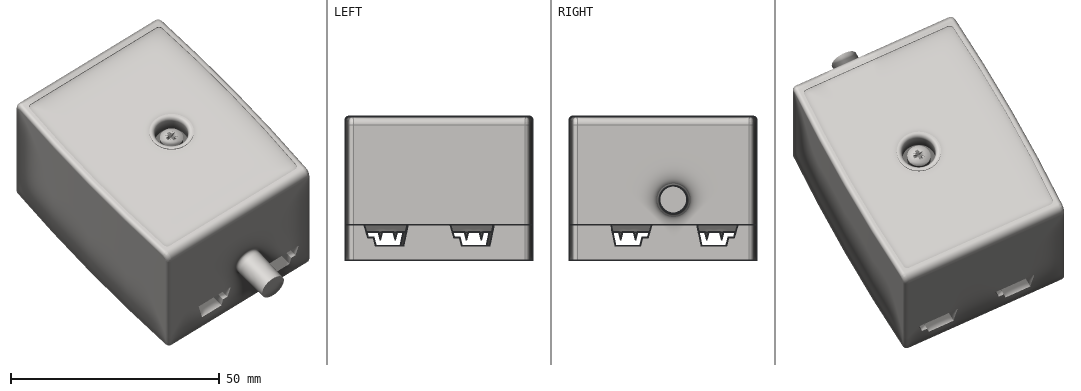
import cadquery as cq
import math

overall_length = 70.0

box_length = 60.05
box_width = 45.0
box_height = 34.5
side_bulge = 0.9
seam_height = 8.5
corner_radius = 1.05
end_edge_radius = 1.95

label_length = 54.45
label_width = 41.8
label_corner_radius = 1.05
label_depth = 0.3
axis_y = 2.6
rim_diameter = 10.65
well_diameter = 8.0
well_lip_radius = 1.0
well_depth = 4.2

outlet_y = 2.45
outlet_z = 14.55
outlet_reach = overall_length - box_length
outlet_root_diameter = 7.0
outlet_tip_diameter = 6.6
outlet_root_fillet = 0.5

channel_pitch = 20.65
channel_centre_y = 2.2
floor_height = 3.5
ledge_height = 5.45
channel_narrowing = 0.8

outer_wall_top = 5.45
outer_wall_at_ledge = 4.5
ledge_inner = 3.15
floor_outer = 2.65
floor_inner = -4.0
inner_wall_top = -5.05

tongue_drop = 1.75
tongue_length = box_length / 2
needle_pitch = 3.6
needle_offset = -0.2
needle_diameter = 0.9
needle_length = 1.75

head_diameter = 5.6
head_edge_depth = 2.4
head_crown = 0.7
recess_span = 3.15
recess_floor_span = 0.85
recess_width = 0.85
recess_depth = 1.1
mark_span = 2.8
mark_width = 0.15
mark_depth = 0.3

end_x = box_length / 2
head_edge_z = box_height - head_edge_depth
channel_places = [channel_centre_y + side * channel_pitch / 2 for side in (-1, 1)]


def bulged_outline(length, width, bottom, height):
    """Block with flat ends and gently arched long sides."""
    half_length = length / 2
    half_width = width / 2
    corner_y = half_width - side_bulge
    return (
        cq.Workplane("XY", origin=(0, 0, bottom))
        .moveTo(-half_length, -corner_y)
        .threePointArc((0, -half_width), (half_length, -corner_y))
        .lineTo(half_length, corner_y)
        .threePointArc((0, half_width), (-half_length, corner_y))
        .close()
        .extrude(height)
    )


def disc(diameter, y, bottom, height):
    return cq.Workplane("XY", origin=(0, y, bottom)).circle(diameter / 2).extrude(height)


def channel_points(top_z, narrowing):
    """Cross section of a cable channel, its slanted walls continued up to top_z."""
    return [
        (outer_wall_top, top_z),
        (outer_wall_at_ledge, ledge_height),
        (ledge_inner, ledge_height),
        (floor_outer, floor_height),
        (floor_inner + narrowing, floor_height),
        (inner_wall_top + narrowing, top_z),
    ]


def channel(y):
    """Solid filling one channel, which narrows from the -X end to the +X end."""
    return (
        cq.Workplane("YZ", origin=(-end_x, y, 0))
        .polyline(channel_points(seam_height, 0))
        .close()
        .workplane(offset=box_length)
        .polyline(channel_points(seam_height, channel_narrowing))
        .close()
        .loft(ruled=True)
    )


def make_base():
    base = bulged_outline(box_length, box_width, 0, seam_height)
    base = base.edges("|Z").fillet(corner_radius)
    for y in channel_places:
        base = base.cut(channel(y))
    return base


def cover_shell():
    shell = bulged_outline(box_length, box_width, seam_height, box_height - seam_height)
    shell = shell.faces(">Z").edges("|Y").fillet(end_edge_radius)
    return shell.edges("|Z").fillet(corner_radius)


def label_field():
    """Sunken field around the raised rim of the screw well."""
    bottom = box_height - label_depth
    field = bulged_outline(label_length, label_width, bottom, label_depth)
    field = field.edges("|Z").fillet(label_corner_radius)
    return field.cut(disc(rim_diameter, axis_y, bottom, label_depth))


def screw_well():
    """Round well whose mouth flares out in a rounded lip."""
    radius = well_diameter / 2
    lip_bottom = box_height - well_lip_radius
    lip_middle = well_lip_radius * (1 - math.sqrt(0.5))
    return (
        cq.Workplane("XZ", origin=(0, axis_y, 0))
        .moveTo(0, box_height - well_depth)
        .lineTo(radius, box_height - well_depth)
        .lineTo(radius, lip_bottom)
        .threePointArc(
            (radius + lip_middle, box_height - lip_middle),
            (radius + well_lip_radius, box_height),
        )
        .lineTo(0, box_height)
        .close()
        .revolve(360, (0, 0, 0), (0, 1, 0))
    )


def cable_outlet():
    """Tapered round stub flaring into the end face with a small root fillet."""
    root_radius = outlet_root_diameter / 2
    fillet_middle = outlet_root_fillet * (1 - math.sqrt(0.5))
    return (
        cq.Workplane("XY", origin=(end_x, outlet_y, outlet_z))
        .moveTo(0, 0)
        .lineTo(0, root_radius + outlet_root_fillet)
        .threePointArc(
            (fillet_middle, root_radius + fillet_middle),
            (outlet_root_fillet, root_radius),
        )
        .lineTo(outlet_reach, outlet_tip_diameter / 2)
        .lineTo(outlet_reach, 0)
        .close()
        .revolve(360, (0, 0, 0), (1, 0, 0))
    )


def tongue(y):
    """Part of the channel section just below the seam, filled over the middle of the box."""
    limits = cq.Workplane("XY", origin=(0, y, seam_height - tongue_drop)).box(
        tongue_length, channel_pitch, tongue_drop, centered=(True, True, False)
    )
    return channel(y).intersect(limits)


def needle(y):
    cone = cq.Solid.makeCone(
        needle_diameter / 2,
        0,
        needle_length,
        pnt=cq.Vector(0, y, seam_height - tongue_drop),
        dir=cq.Vector(0, 0, -1),
    )
    return cq.Workplane(obj=cone)


def make_cover():
    cover = cover_shell().cut(label_field()).cut(screw_well())
    cover = cover.union(cable_outlet())
    for y in channel_places:
        cover = cover.union(tongue(y))
        for side in (-1, 1):
            cover = cover.union(needle(y + needle_offset + side * needle_pitch / 2))
    return cover


def drive_recess():
    """Cross recess with sloping arm ends, plus four slim diagonal marks."""
    top = head_edge_z + head_crown
    floor = top - recess_depth
    arm = (
        cq.Workplane("XZ", origin=(0, axis_y, 0))
        .polyline([
            (-recess_span / 2, top),
            (recess_span / 2, top),
            (recess_floor_span / 2, floor),
            (-recess_floor_span / 2, floor),
        ])
        .close()
        .extrude(recess_width / 2, both=True)
    )
    mark = cq.Workplane("XY", origin=(0, axis_y, top - mark_depth)).box(
        mark_span, mark_width, mark_depth, centered=(True, True, False)
    )
    axis_start = (0, axis_y, 0)
    axis_end = (0, axis_y, 1)
    recess = arm.union(arm.rotate(axis_start, axis_end, 90))
    for angle in (45, 135):
        recess = recess.union(mark.rotate(axis_start, axis_end, angle))
    return recess


def make_screw():
    """Domed screw head standing on the floor of the well."""
    radius = head_diameter / 2
    well_floor = box_height - well_depth
    dome_radius = (radius**2 + head_crown**2) / (2 * head_crown)
    head = (
        cq.Workplane("XZ", origin=(0, axis_y, 0))
        .moveTo(0, well_floor)
        .lineTo(radius, well_floor)
        .lineTo(radius, head_edge_z)
        .radiusArc((0, head_edge_z + head_crown), -dome_radius)
        .close()
        .revolve(360, (0, 0, 0), (0, 1, 0))
    )
    return head.cut(drive_recess())


base = make_base()
cover = make_cover()
screw = make_screw()
result = cq.Compound.makeCompound([base.val(), cover.val(), screw.val()])